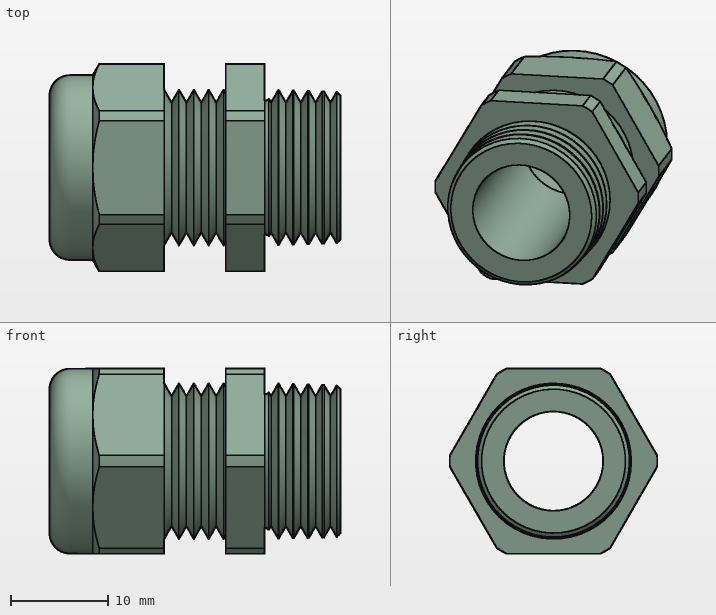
import cadquery as cq
import math


length = 29.97
bore_radius = 5.1

dome_radius = 9.53
dome_fillet = 2.15
dome_end = 4.47

across_flats = 2 * dome_radius
corner_diameter = 21.37
hexagon_turn = 30.0
cap_hex_end = 11.8
cap_chamfer_angle = 30.0
body_hex_start = 18.13
body_hex_end = 22.15

pitch = 1.53
flank_angle = 60.0
crest_radius = 8.03
thread_depth = pitch / 2 * math.tan(math.radians(flank_angle))
cap_thread_first_root = cap_hex_end + pitch / 2
cap_thread_grooves = 5
entry_thread_first_root = 22.8
entry_thread_grooves = 5
entry_taper = 1 / 32
entry_chamfer = 0.42

neck_radius = 6.9
neck_curve = 0.6

seal_radius = 6.8
seal_recess = 0.6
seal_end = 4.4
seal_fillet = 0.25


def turned(profile):
    """Revolve an XY profile around the X axis."""
    return profile.close().revolve(360, (0, 0, 0), (1, 0, 0))


def cylinder(start, end, radius):
    """Cylinder on the X axis between two X positions."""
    return cq.Workplane("YZ", origin=(start, 0, 0)).circle(radius).extrude(end - start)


def hexagon(start, end):
    """Hexagonal prism with flats on top and bottom and rounded corners."""
    prism = (
        cq.Workplane("YZ", origin=(start, 0, 0))
        .polygon(6, across_flats, circumscribed=True)
        .extrude(end - start)
        .rotate((0, 0, 0), (1, 0, 0), hexagon_turn)
    )
    return prism.intersect(cylinder(start, end, corner_diameter / 2))


def cap_hexagon():
    """Hexagon whose corners are chamfered by a cone down to the dome."""
    corner_radius = corner_diameter / 2
    chamfer_length = (corner_radius - dome_radius) * math.tan(math.radians(cap_chamfer_angle))
    envelope = turned(
        cq.Workplane("XY")
        .moveTo(dome_end, 0)
        .lineTo(dome_end, dome_radius)
        .lineTo(dome_end + chamfer_length, corner_radius)
        .lineTo(cap_hex_end, corner_radius)
        .lineTo(cap_hex_end, 0)
    )
    return hexagon(dome_end, cap_hex_end).intersect(envelope)


def dome():
    """Round front of the cap with a large fillet on its outer edge."""
    return cylinder(0, dome_end, dome_radius).faces("<X").edges().fillet(dome_fillet)


def with_thread_grooves(blank, first_root, groove_count):
    """Cut evenly spaced V-shaped ring grooves into a thread blank."""
    root_radius = crest_radius - thread_depth
    for index in range(groove_count):
        root = first_root + index * pitch
        groove = turned(
            cq.Workplane("XY")
            .moveTo(root, root_radius)
            .lineTo(root + pitch / 2, crest_radius)
            .lineTo(root - pitch / 2, crest_radius)
        )
        blank = blank.cut(groove)
    return blank


def cap_thread():
    """Thread between the two hexagons; its last groove is cut short by the body hexagon."""
    blank = cylinder(cap_hex_end, body_hex_start, crest_radius)
    return with_thread_grooves(blank, cap_thread_first_root, cap_thread_grooves)


def entry_thread():
    """Slightly tapered thread at the far end, with a concave relief neck and an end chamfer."""
    neck_end = body_hex_end + neck_curve
    curve_mid = neck_curve * math.sqrt(0.5)
    chamfer_start = length - entry_chamfer
    chamfer_radius = crest_radius - (chamfer_start - neck_end) * entry_taper
    blank = turned(
        cq.Workplane("XY")
        .moveTo(body_hex_end, 0)
        .lineTo(body_hex_end, neck_radius)
        .threePointArc(
            (body_hex_end + curve_mid, neck_radius + neck_curve - curve_mid),
            (neck_end, neck_radius + neck_curve),
        )
        .lineTo(neck_end, crest_radius)
        .lineTo(chamfer_start, chamfer_radius)
        .lineTo(length, chamfer_radius - entry_chamfer)
        .lineTo(length, 0)
    )
    return with_thread_grooves(blank, entry_thread_first_root, entry_thread_grooves)


def make_housing():
    """Domed cap, hexagons and threads in one piece, bored through and recessed for the seal."""
    outside = (
        dome()
        .union(cap_hexagon())
        .union(cap_thread())
        .union(hexagon(body_hex_start, body_hex_end))
        .union(entry_thread())
    )
    return outside.cut(cylinder(0, length, bore_radius)).cut(cylinder(0, seal_end, seal_radius))


def make_seal():
    """Ring flush with the bore, set back from the domed face, with a rounded front edge."""
    ring = cylinder(seal_recess, seal_end, seal_radius).faces("<X").edges().fillet(seal_fillet)
    return ring.cut(cylinder(seal_recess, seal_end, bore_radius))


housing = make_housing()
seal = make_seal()

result = cq.Compound.makeCompound([housing.val(), seal.val()])